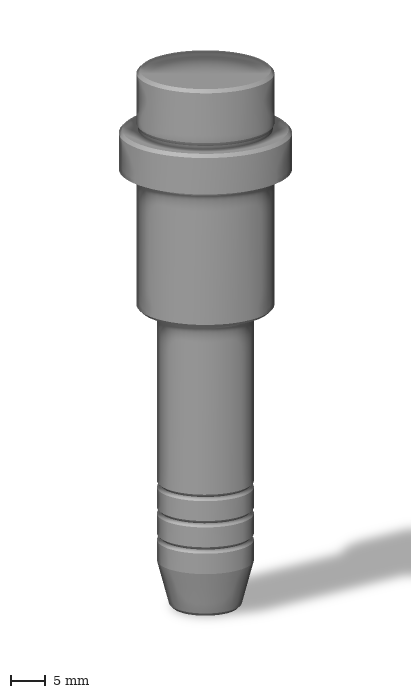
import cadquery as cq
import math

total_length = 81.0
body_radius = 10.0
collar_radius = 12.515
shank_radius = 7.01
neck_radius = 6.6
collar_top = 72.0
collar_height = 6.0
body_bottom = 45.0
neck_height = 1.0
taper_height = 7.0
taper_angle = 15.0
edge_chamfer = 0.5
relief_width = 1.0
relief_depth = 0.25
groove_depth = 0.5
top_groove_z = 18.5
groove_pitch = 4.0
groove_count = 3

collar_bottom = collar_top - collar_height
neck_bottom = body_bottom - neck_height
relief_radius = body_radius - relief_depth
taper_slope = math.tan(math.radians(taper_angle))
tip_edge_radius = shank_radius - (taper_height - edge_chamfer) * taper_slope
tip_face_radius = tip_edge_radius - edge_chamfer


def relief(collar_face, direction):
    """Points of the relief beside a collar face, ordered away from the collar."""
    return [
        (relief_radius, collar_face),
        (relief_radius, collar_face + direction * relief_width / 2),
        (body_radius, collar_face + direction * relief_width),
    ]


def shank_groove(center_z):
    """Points of a 45 degree V groove, ordered upward."""
    return [
        (shank_radius, center_z - groove_depth),
        (shank_radius - groove_depth, center_z),
        (shank_radius, center_z + groove_depth),
    ]


profile = [
    (0, 0),
    (tip_face_radius, 0),
    (tip_edge_radius, edge_chamfer),
    (shank_radius, taper_height),
]
for index in reversed(range(groove_count)):
    profile += shank_groove(top_groove_z - index * groove_pitch)

profile += [
    (shank_radius, neck_bottom),
    (neck_radius, neck_bottom),
    (neck_radius, body_bottom),
    (body_radius - edge_chamfer, body_bottom),
    (body_radius, body_bottom + edge_chamfer),
]

profile += reversed(relief(collar_bottom, -1))
profile += [
    (collar_radius, collar_bottom),
    (collar_radius, collar_top - edge_chamfer),
    (collar_radius - edge_chamfer, collar_top),
]
profile += relief(collar_top, 1)

profile += [
    (body_radius, total_length - edge_chamfer),
    (body_radius - edge_chamfer, total_length),
    (0, total_length),
]

result = cq.Workplane("XZ").polyline(profile).close().revolve(360, (0, 0, 0), (0, 1, 0))